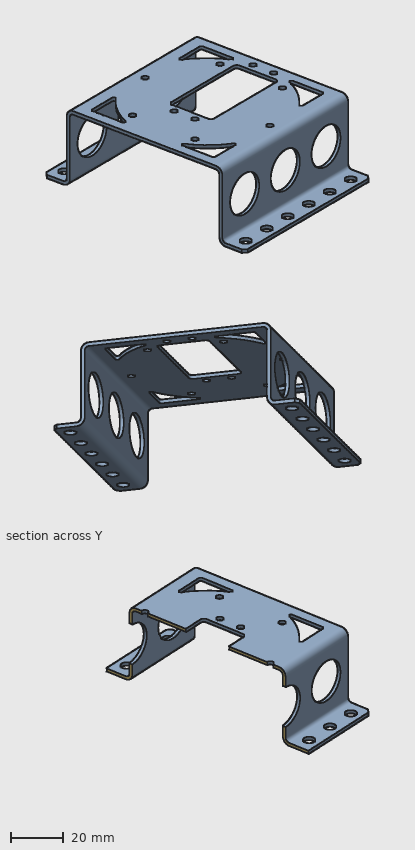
import cadquery as cq
import math

length = 98.4
depth = 76.2
height = 33.4
sheet = 1.6
inner_bend = 1.7
outer_bend = inner_bend + sheet
top_width = 76.2
flange_chamfer = 1.6

flange_hole_dia = 4.7
flange_hole_x = 44.4
flange_hole_pitch = 12.7
flange_hole_count = 6

wall_hole_dia = 17.5
wall_hole_pitch = 24.6

ring_radius = 30.5
ring_hole_dia = 2.9
ring_hole_count = 6

window_width = 20.9
window_depth = 40.6
window_y = 9.8
window_corner = 1.6
screw_hole_dia = 2.9
screw_pitch_x = 10.1
screw_pitch_y = 47.6
screw_center_y = 9.9

cutout_x = 30.1
cutout_y = 33.4
cutout_circle = 34.9
cutout_corner = 0.8


def make_profile():
    """Bent sheet outline of the whole bracket, extruded along Y."""
    foot_end = length / 2
    wall_out = top_width / 2
    wall_in = wall_out - sheet
    diagonal = math.sqrt(0.5)

    def bend_point(center_x, center_z, radius, side_x, side_z):
        """Middle of a quarter-circle bend."""
        return (center_x + side_x * radius * diagonal, center_z + side_z * radius * diagonal)

    low_x = wall_out + inner_bend
    low_z = outer_bend
    high_x = wall_out - outer_bend
    high_z = height - outer_bend
    half = (
        cq.Workplane("XZ", origin=(0, depth / 2, 0))
        .moveTo(0, height)
        .lineTo(high_x, height)
        .threePointArc(bend_point(high_x, high_z, outer_bend, 1, 1), (wall_out, high_z))
        .lineTo(wall_out, low_z)
        .threePointArc(bend_point(low_x, low_z, inner_bend, -1, -1), (low_x, sheet))
        .lineTo(foot_end, sheet)
        .lineTo(foot_end, 0)
        .lineTo(low_x, 0)
        .threePointArc(bend_point(low_x, low_z, outer_bend, -1, -1), (wall_in, low_z))
        .lineTo(wall_in, high_z)
        .threePointArc(bend_point(high_x, high_z, inner_bend, 1, 1), (high_x, height - sheet))
        .lineTo(0, height - sheet)
        .close()
        .extrude(depth)
    )
    half = half.faces(">X").edges("|Z").chamfer(flange_chamfer)
    return half.union(half.mirror("YZ"))


def vertical_holes(points, diameter):
    """Cylinders through the full height at the given XY points."""
    return cq.Workplane("XY").pushPoints(points).circle(diameter / 2).extrude(height)


def flange_holes():
    first_y = -(flange_hole_count - 1) / 2 * flange_hole_pitch
    points = [
        (side * flange_hole_x, first_y + i * flange_hole_pitch)
        for side in (-1, 1)
        for i in range(flange_hole_count)
    ]
    return vertical_holes(points, flange_hole_dia)


def ring_holes():
    angles = [2 * math.pi * i / ring_hole_count for i in range(ring_hole_count)]
    points = [(ring_radius * math.cos(a), ring_radius * math.sin(a)) for a in angles]
    return vertical_holes(points, ring_hole_dia)


def screw_holes():
    points = [
        (side_x * screw_pitch_x / 2, screw_center_y + side_y * screw_pitch_y / 2)
        for side_x in (-1, 1)
        for side_y in (-1, 1)
    ]
    return vertical_holes(points, screw_hole_dia)


def window():
    return (
        cq.Workplane("XY")
        .center(0, window_y)
        .rect(window_width, window_depth)
        .extrude(height)
        .edges("|Z")
        .fillet(window_corner)
    )


def corner_cutouts():
    """Four rounded corners of a rectangle left outside the common circle."""
    block = cq.Workplane("XY").rect(2 * cutout_x, 2 * cutout_y).extrude(height)
    disc = cq.Workplane("XY").circle(cutout_circle).extrude(height)
    return block.cut(disc).edges("|Z").fillet(cutout_corner)


def wall_holes():
    """Three cylinders along X that pass through both side walls."""
    points = [(i * wall_hole_pitch, height / 2) for i in (-1, 0, 1)]
    return (
        cq.Workplane("YZ")
        .pushPoints(points)
        .circle(wall_hole_dia / 2)
        .extrude(length / 2, both=True)
    )


result = make_profile()
cutters = [
    flange_holes(),
    ring_holes(),
    screw_holes(),
    window(),
    corner_cutouts(),
    wall_holes(),
]
for cutter in cutters:
    result = result.cut(cutter)